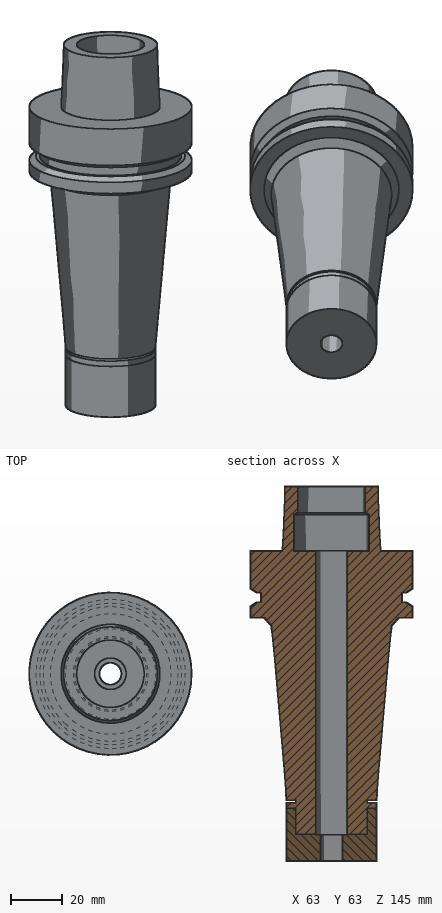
import cadquery as cq

total_length = 145.0
shank_length = 25.0
flange_width = 26.0

shank_top_radius = 18.1
shank_base_radius = 19.1
socket_radius = 13.0
socket_lip_depth = 10.2
undercut_radius = 14.5
undercut_rise = 0.9
socket_depth = shank_length

flange_radius = 31.5
groove_radius = 27.4
groove_mouth_radius = 28.9
groove_chamfer_height = 1.6
groove_floor_width = 3.6
lower_rim_width = 4.5

skirt_top_radius = 26.1
skirt_height = 3.0
body_top_radius = 23.3
body_end_diameter = 35.0
body_end_radius = body_end_diameter / 2

nut_radius = body_end_radius
nut_height = 20.5
collar_height = 2.2
collar_gap = 0.9
neck_radius = 13.9
neck_depth_in_nut = 10.2
holder_bore_radius = 6.1
nut_hole_radius = 4.2

flange_top = total_length - shank_length
flange_bottom = flange_top - flange_width
groove_lower_edge = flange_bottom + lower_rim_width
groove_floor_bottom = groove_lower_edge + groove_chamfer_height
groove_floor_top = groove_floor_bottom + groove_floor_width
groove_upper_edge = groove_floor_top + groove_chamfer_height
body_top = flange_bottom - skirt_height
collar_bottom = nut_height
collar_top = collar_bottom + collar_height
body_bottom = collar_top + collar_gap
neck_bottom = nut_height - neck_depth_in_nut
socket_floor = total_length - socket_depth
socket_lip = total_length - socket_lip_depth


def revolve_profile(points):
    """Turn a closed (radius, height) outline around the Z axis."""
    return cq.Workplane("XZ").polyline(points).close().revolve(360, (0, 0, 0), (0, 1, 0))


def make_holder():
    """Shank, flange, body, neck and collar, bored from end to end."""
    return revolve_profile([
        (socket_radius, total_length),
        (shank_top_radius, total_length),
        (shank_base_radius, flange_top),
        (flange_radius, flange_top),
        (flange_radius, groove_upper_edge),
        (groove_mouth_radius, groove_floor_top),
        (groove_radius, groove_floor_top),
        (groove_radius, groove_floor_bottom),
        (groove_mouth_radius, groove_floor_bottom),
        (flange_radius, groove_lower_edge),
        (flange_radius, flange_bottom),
        (skirt_top_radius, flange_bottom),
        (body_top_radius, body_top),
        (body_end_radius, body_bottom),
        (neck_radius, body_bottom),
        (neck_radius, collar_top),
        (nut_radius, collar_top),
        (nut_radius, collar_bottom),
        (neck_radius, collar_bottom),
        (neck_radius, neck_bottom),
        (holder_bore_radius, neck_bottom),
        (holder_bore_radius, socket_floor),
        (undercut_radius, socket_floor),
        (undercut_radius, socket_lip - undercut_rise),
        (socket_radius, socket_lip),
    ])


def make_nut():
    """Plain round nut with a recess for the neck and a through hole."""
    return revolve_profile([
        (nut_hole_radius, 0),
        (nut_radius, 0),
        (nut_radius, nut_height),
        (neck_radius, nut_height),
        (neck_radius, neck_bottom),
        (nut_hole_radius, neck_bottom),
    ])


holder = make_holder()
nut = make_nut()

result = cq.Compound.makeCompound([holder.val(), nut.val()])